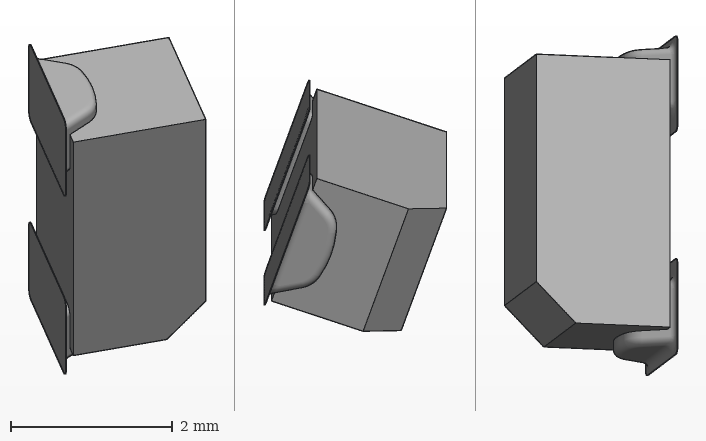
import cadquery as cq

width = 1.7
height = 4.0

body_depth = 1.7
body_height = 3.36
body_front = 0.1
body_chamfer = 0.5

pad_height = 1.2
pad_thickness = 0.01
pad_corner_radius = 0.1

dome_outer_gap = 0.13
dome_height = 0.8
dome_depth = 0.585
dome_base_half_width = 0.75
dome_shoulder_half_width = 0.455
dome_shoulder_depth = 0.5
dome_shoulder_radius = 0.35
dome_edge_radius = 0.1
dome_foot_radius = 0.1

body_bottom = (height - body_height) / 2


def make_body():
    """Block with its lower back edge bevelled."""
    return (
        cq.Workplane("XY")
        .box(width, body_depth, body_height, centered=(True, False, False))
        .translate((0, body_front, body_bottom))
        .edges("|X and >Y and <Z")
        .chamfer(body_chamfer)
    )


def make_lower_terminal():
    """Pad and dome, blended together along the foot of the dome."""
    pad = (
        cq.Workplane("XY")
        .box(width, pad_thickness, pad_height, centered=(True, False, False))
        .edges("|Y")
        .fillet(pad_corner_radius)
    )
    dome = (
        cq.Workplane("XY", origin=(0, 0, dome_outer_gap))
        .moveTo(-dome_base_half_width, 0)
        .lineTo(-dome_shoulder_half_width, dome_shoulder_depth)
        .threePointArc((0, dome_depth), (dome_shoulder_half_width, dome_shoulder_depth))
        .lineTo(dome_base_half_width, 0)
        .close()
        .extrude(dome_height)
    )
    dome = dome.edges("|Z").edges(">Y").fillet(dome_shoulder_radius)
    dome = dome.faces("<Z or >Z").edges("not <Y").fillet(dome_edge_radius)
    terminal = pad.union(dome)
    foot = terminal.faces("+Y").val().innerWires()[0]
    return terminal.newObject(foot.Edges()).fillet(dome_foot_radius)


lower_terminal = make_lower_terminal()
upper_terminal = lower_terminal.mirror("XY", (0, 0, height / 2))
result = make_body().union(lower_terminal).union(upper_terminal)